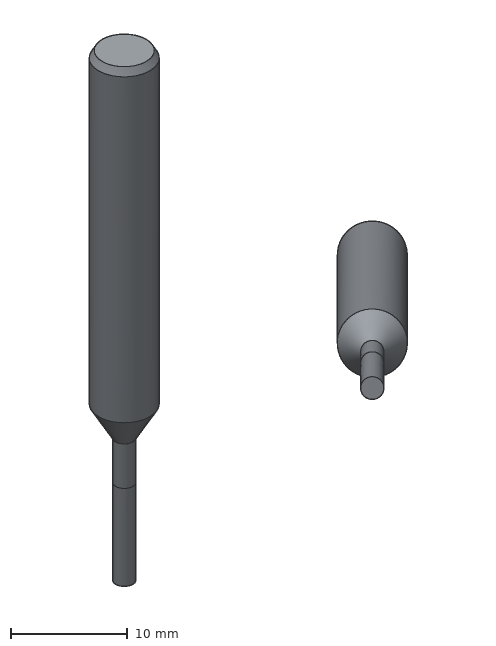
import cadquery as cq
import math

total_length = 54.0
shank_diameter = 6.0
shank_bottom = 18.0
end_chamfer_width = 0.45
end_chamfer_height = 0.75
neck_diameter = 2.0
taper_half_angle = 30.0
tip_length = 10.0

shank_radius = shank_diameter / 2
neck_radius = neck_diameter / 2
taper_height = (shank_radius - neck_radius) / math.tan(math.radians(taper_half_angle))
taper_bottom = shank_bottom - taper_height


def make_holder():
    """Bevelled shank tapering down to a slim neck, turned about Z."""
    profile = [
        (0, tip_length),
        (neck_radius, tip_length),
        (neck_radius, taper_bottom),
        (shank_radius, shank_bottom),
        (shank_radius, total_length - end_chamfer_height),
        (shank_radius - end_chamfer_width, total_length),
        (0, total_length),
    ]
    return cq.Workplane("XZ").polyline(profile).close().revolve(360, (0, 0), (0, 1))


def make_tip():
    """Plain cylinder, flush with the neck, that butts against the lower end of the neck."""
    return cq.Workplane("XY").circle(neck_radius).extrude(tip_length)


holder = make_holder()
tip = make_tip()
result = cq.Compound.makeCompound([holder.val(), tip.val()])